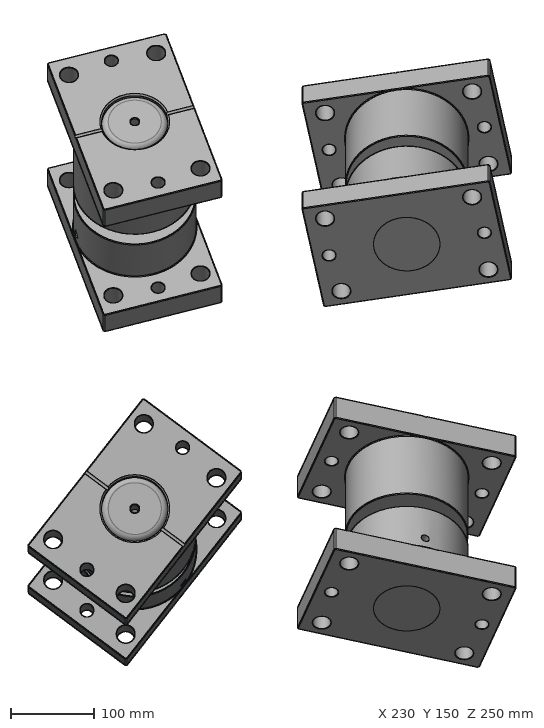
import cadquery as cq
import math

total_height = 250.0
plate_length = 230.0
plate_width = 150.0
plate_thickness = 35.0
plate_edge_chamfer = 1.0
plate_corner_chamfer = 1.8

boss_diameter = 148.0
boss_edge_chamfer = 1.0
boss_root_chamfer = 1.0
lower_boss_top = 100.0
boss_gap = 20.0

bolt_diameter = 22.0
bolt_x = 90.0
bolt_y = 55.0
dowel_diameter = 16.0
dowel_x = 95.0
hole_mouth_chamfer = 0.5

pin_diameter = 80.0
pin_end_fillet = 8.0
pin_tap_diameter = 10.0
pin_tap_mouth_chamfer = 1.0
pin_tap_depth = 25.0
drill_point_angle = 118.0

bore_mouth_chamfer = 2.0
groove_radius = 2.0

grease_diameter = 10.0
grease_height = 50.0

flat_face_width = plate_width - 2 * plate_edge_chamfer
boss_radius = boss_diameter / 2
pin_radius = pin_diameter / 2
upper_boss_bottom = lower_boss_top + boss_gap
upper_boss_height = total_height - upper_boss_bottom


def vertical_cylinder(radius, height):
    return cq.Workplane("XY").circle(radius).extrude(height)


def cone_frustum(bottom_radius, top_radius, height, bottom_z):
    return cq.Workplane(
        cq.Solid.makeCone(bottom_radius, top_radius, height, pnt=cq.Vector(0, 0, bottom_z))
    )


def plate_hole(diameter):
    """Cutter for a through hole in a plate, flared at both mouths."""
    radius = diameter / 2
    mouth_radius = radius + hole_mouth_chamfer
    lower_mouth = cone_frustum(mouth_radius, radius, hole_mouth_chamfer, 0)
    upper_mouth = cone_frustum(radius, mouth_radius, hole_mouth_chamfer, plate_thickness - hole_mouth_chamfer)
    return vertical_cylinder(radius, plate_thickness).union(lower_mouth).union(upper_mouth)


def make_plate():
    """Plate resting on Z = 0 with chamfered edges, four bolt holes and two dowel holes."""
    plate = (
        cq.Workplane("XY")
        .box(plate_length, plate_width, plate_thickness, centered=(True, True, False))
        .edges("|Z")
        .chamfer(plate_corner_chamfer)
        .faces("<Z or >Z")
        .edges()
        .chamfer(plate_edge_chamfer)
    )
    for side in (-1, 1):
        plate = plate.cut(plate_hole(dowel_diameter).translate((side * dowel_x, 0, 0)))
        for end in (-1, 1):
            plate = plate.cut(plate_hole(bolt_diameter).translate((side * bolt_x, end * bolt_y, 0)))
    return plate


def make_boss(height):
    """Round boss standing on the plate, with a chamfered rim and a root chamfer kept on the flat face."""
    boss = vertical_cylinder(boss_radius, height).faces(">Z").edges().chamfer(boss_edge_chamfer)
    root = cone_frustum(boss_radius + boss_root_chamfer, boss_radius, boss_root_chamfer, 0)
    flat_face = cq.Workplane("XY").box(plate_length, flat_face_width, 2 * boss_root_chamfer)
    root = root.intersect(flat_face)
    return boss.union(root).translate((0, 0, plate_thickness))


def bored_block(height):
    """Plate with a boss rising to the given height, bored right through for the pin."""
    boss = make_boss(height - plate_thickness)
    return make_plate().union(boss).cut(vertical_cylinder(pin_radius, height))


def make_lower_housing():
    grease_hole = (
        cq.Workplane("XZ", origin=(0, 0, grease_height)).circle(grease_diameter / 2).extrude(boss_radius)
    )
    return bored_block(lower_boss_top).cut(grease_hole)


def make_upper_housing():
    """Inverted block with a chamfered bore mouth and a half-round vent groove across the outer face."""
    block = bored_block(upper_boss_height).rotate((0, 0, 0), (1, 0, 0), 180).translate((0, 0, total_height))
    groove = (
        cq.Workplane("XZ", origin=(0, 0, total_height))
        .circle(groove_radius)
        .extrude(plate_width / 2, both=True)
    )
    mouth = cone_frustum(
        pin_radius, pin_radius + bore_mouth_chamfer, bore_mouth_chamfer, total_height - bore_mouth_chamfer
    )
    return block.cut(groove).cut(mouth)


def make_guide_pin():
    """Full-height pin with a rounded upper end and a drilled centre hole."""
    tap_radius = pin_tap_diameter / 2
    tip_depth = tap_radius / math.tan(math.radians(drill_point_angle / 2))
    pin = vertical_cylinder(pin_radius, total_height).faces(">Z").edges().fillet(pin_end_fillet)
    tap_hole = (
        cq.Workplane("XZ")
        .moveTo(0, total_height)
        .lineTo(tap_radius + pin_tap_mouth_chamfer, total_height)
        .lineTo(tap_radius, total_height - pin_tap_mouth_chamfer)
        .lineTo(tap_radius, total_height - pin_tap_depth)
        .lineTo(0, total_height - pin_tap_depth - tip_depth)
        .close()
        .revolve(360, (0, 0, 0), (0, 1, 0))
    )
    return pin.cut(tap_hole)


lower_housing = make_lower_housing()
upper_housing = make_upper_housing()
guide_pin = make_guide_pin()

result = cq.Compound.makeCompound([lower_housing.val(), upper_housing.val(), guide_pin.val()])